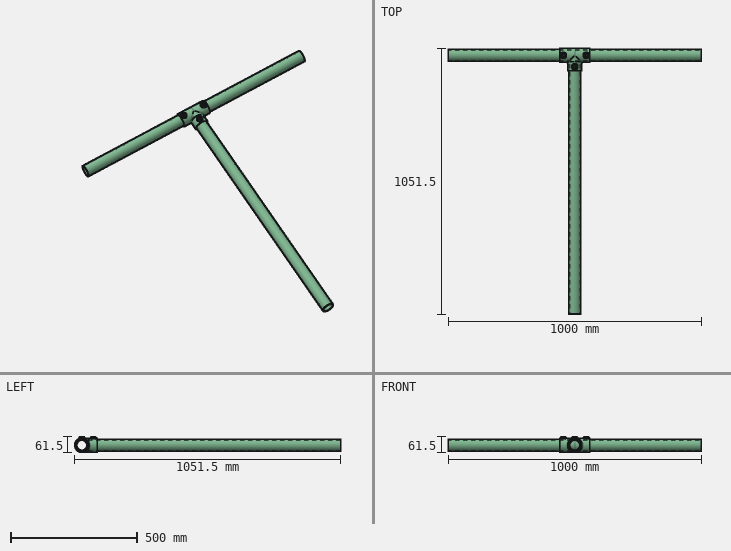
import cadquery as cq

TUBE_OD = 48.0
TUBE_ID = 40.0
RUN_LENGTH = 1000.0
BRANCH_END_Y = -1023.0
BRANCH_TUBE_GAP = 2.0

FITTING_OD = 57.0
FITTING_LENGTH = 119.0
FITTING_BRANCH_REACH = 61.0
CORNER_FILLET = 3.0
END_FILLET = 2.0

BOSS_DIAMETER = 24.0
BOSS_TOP_Z = 30.0
BOSS_CHAMFER = 2.0
SCREW_DIAMETER = 17.0
SCREW_TOP_Z = 33.0
SOCKET_WIDTH = 10.0
SOCKET_DEPTH = 4.0
SCREW_OFFSET = 45.0
HEX_SIDES = 6

TUBE_RADIUS = TUBE_OD / 2
BRANCH_START_Y = -TUBE_RADIUS - BRANCH_TUBE_GAP
SCREW_SPOTS = [(-SCREW_OFFSET, 0), (SCREW_OFFSET, 0), (0, -SCREW_OFFSET)]


def rod_x(diameter, length):
    """Solid round bar along X, centred on the origin."""
    return cq.Workplane("YZ").circle(diameter / 2).extrude(length / 2, both=True)


def rod_y(diameter, start_y, end_y):
    """Solid round bar along -Y from start_y to end_y."""
    return cq.Workplane("XZ", origin=(0, start_y, 0)).circle(diameter / 2).extrude(start_y - end_y)


def post_z(diameter, bottom_z, top_z, spots):
    """Upright round bars at the given XY spots."""
    plane = cq.Workplane("XY", origin=(0, 0, bottom_z))
    return plane.pushPoints(spots).circle(diameter / 2).extrude(top_z - bottom_z)


def make_run_tube():
    """Through tube along X."""
    return rod_x(TUBE_OD, RUN_LENGTH).cut(rod_x(TUBE_ID, RUN_LENGTH))


def make_branch_tube():
    """Tube along -Y, stopping just short of the run tube."""
    outer = rod_y(TUBE_OD, BRANCH_START_Y, BRANCH_END_Y)
    return outer.cut(rod_y(TUBE_ID, BRANCH_START_Y, BRANCH_END_Y))


def make_fitting():
    """Tee sleeve with a screw boss on top of each arm, bored for the tubes and screws."""
    body = rod_x(FITTING_OD, FITTING_LENGTH).union(rod_y(FITTING_OD, 0, -FITTING_BRANCH_REACH))
    body = body.edges("not(%CIRCLE)").edges("not(%LINE)").fillet(CORNER_FILLET)
    body = body.faces("<X or >X or <Y").edges("%CIRCLE").fillet(END_FILLET)
    bosses = post_z(BOSS_DIAMETER, 0, BOSS_TOP_Z, SCREW_SPOTS).faces(">Z").chamfer(BOSS_CHAMFER)
    body = body.union(bosses)
    body = body.cut(rod_x(TUBE_OD, FITTING_LENGTH))
    body = body.cut(rod_y(TUBE_OD, 0, -FITTING_BRANCH_REACH))
    return body.cut(post_z(SCREW_DIAMETER, 0, BOSS_TOP_Z, SCREW_SPOTS))


def make_screw(x, y):
    """Set screw with a hex socket, its lower end resting on the tube below it."""
    screw = post_z(SCREW_DIAMETER, 0, SCREW_TOP_Z, [(x, y)])
    socket_plane = cq.Workplane("XY", origin=(x, y, SCREW_TOP_Z))
    socket = socket_plane.polygon(HEX_SIDES, SOCKET_WIDTH).extrude(-SOCKET_DEPTH)
    screw = screw.cut(socket)
    if y == 0:
        return screw.cut(rod_x(TUBE_OD, RUN_LENGTH))
    return screw.cut(rod_y(TUBE_OD, 0, BRANCH_END_Y))


run_tube = make_run_tube()
branch_tube = make_branch_tube()
fitting = make_fitting()
screws = [make_screw(x, y) for x, y in SCREW_SPOTS]

result = cq.Compound.makeCompound(
    [run_tube.val(), branch_tube.val(), fitting.val(), *[screw.val() for screw in screws]]
)